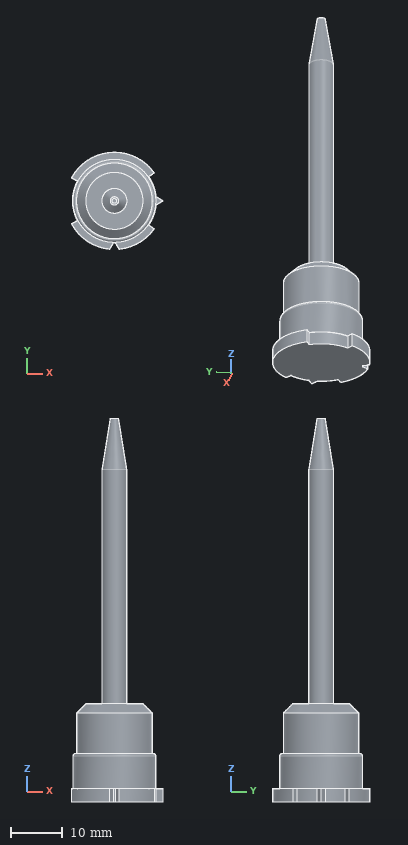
import cadquery as cq
import math

total_height = 74.0
flange_height = 2.6
collar_height = 9.4
body_height = 19.0
tip_length = 9.9

collar_diameter = 16.0
body_diameter = 14.6
shaft_diameter = 4.8
tip_diameter = 1.6

collar_fillet = 0.5
body_chamfer = 1.8

tip_hole_diameter = 0.9
tip_hole_depth = 1.0

flange_radius = 9.39
flange_root_radius = 8.1

right_gap_half_angle = 35.0
left_gap_half_angle = 28.0
lug_angles = [
    (right_gap_half_angle, 180 - left_gap_half_angle),
    (180 + left_gap_half_angle, 360 - right_gap_half_angle),
]

notch_half_width = 0.9
notch_half_angle = 30.0
key_half_angle = 32.0


def polar(radius, angle):
    """Point at a radius and an angle in degrees around the Z axis."""
    return (radius * math.cos(math.radians(angle)), radius * math.sin(math.radians(angle)))


def make_turned_body():
    """Collar, body, shaft and tapered tip revolved as one profile."""
    collar_radius = collar_diameter / 2
    body_radius = body_diameter / 2
    shaft_radius = shaft_diameter / 2
    fillet_start_z = collar_height - collar_fillet
    fillet_centre_x = collar_radius - collar_fillet
    fillet_middle_x = fillet_centre_x + collar_fillet * math.cos(math.radians(45))
    fillet_middle_z = fillet_start_z + collar_fillet * math.sin(math.radians(45))
    return (
        cq.Workplane("XZ")
        .lineTo(collar_radius, 0)
        .lineTo(collar_radius, fillet_start_z)
        .threePointArc((fillet_middle_x, fillet_middle_z), (fillet_centre_x, collar_height))
        .lineTo(body_radius, collar_height)
        .lineTo(body_radius, body_height - body_chamfer)
        .lineTo(body_radius - body_chamfer, body_height)
        .lineTo(shaft_radius, body_height)
        .lineTo(shaft_radius, total_height - tip_length)
        .lineTo(tip_diameter / 2, total_height)
        .lineTo(0, total_height)
        .close()
        .revolve(360, (0, 0, 0), (0, 1, 0))
    )


def make_lug(start_angle, end_angle):
    """Sector of the flange, reaching in to the axis so that it joins the collar."""
    middle_angle = (start_angle + end_angle) / 2
    return (
        cq.Workplane("XY")
        .lineTo(*polar(flange_radius, start_angle))
        .threePointArc(polar(flange_radius, middle_angle), polar(flange_radius, end_angle))
        .close()
        .extrude(flange_height)
    )


def make_notch():
    """V-shaped cutter at the -Y rim, pointing towards the axis."""
    rim_y = -math.sqrt(flange_radius**2 - notch_half_width**2)
    slope = 1 / math.tan(math.radians(notch_half_angle))
    apex_y = rim_y + notch_half_width * slope
    outer_y = -flange_radius - notch_half_width
    outer_half_width = (apex_y - outer_y) / slope
    outline = [(0, apex_y), (-outer_half_width, outer_y), (outer_half_width, outer_y)]
    return cq.Workplane("XY").polyline(outline).close().extrude(flange_height)


def make_key():
    """V-shaped key on the +X side, with its point on the flange radius and its base inside the collar."""
    base_x = body_diameter / 2
    base_half_width = (flange_radius - base_x) * math.tan(math.radians(key_half_angle))
    outline = [(base_x, -base_half_width), (flange_radius, 0), (base_x, base_half_width)]
    return cq.Workplane("XY").polyline(outline).close().extrude(flange_height)


def make_tip_hole():
    """Cutter for the blind hole in the end of the tip."""
    hole_floor = total_height - tip_hole_depth
    return cq.Workplane("XY", origin=(0, 0, hole_floor)).circle(tip_hole_diameter / 2).extrude(tip_hole_depth)


flange = make_key()
for start_angle, end_angle in lug_angles:
    flange = flange.union(make_lug(start_angle, end_angle))
flange = flange.cut(make_notch())

flange_root = cq.Workplane("XY").circle(flange_root_radius).extrude(flange_height)

result = make_turned_body().union(flange).union(flange_root).cut(make_tip_hole())